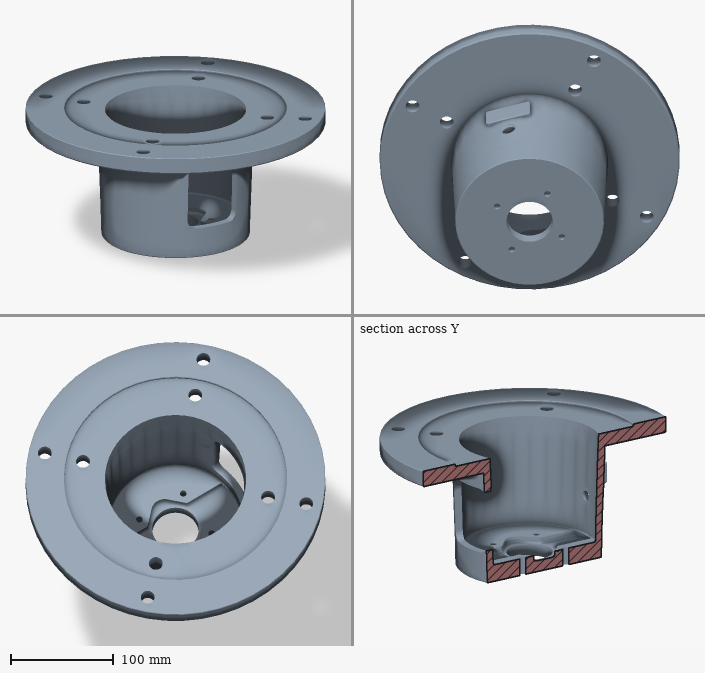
import cadquery as cq
import math

flange_diameter = 292.0
total_height = 130.3
flange_thickness = 16.5
flange_top_chamfer = 0.5
flange_bottom_chamfer = 1.5

hub_top_diameter = 152.8
hub_bottom_diameter = 144.5
bore_top_diameter = 137.5
bore_bottom_diameter = 131.0
hub_edge_chamfer = 1.0
floor_thickness = 17.5
bore_corner_radius = 1.5
bore_depth = total_height - floor_thickness

pilot_diameter = 216.5
pilot_depth = 2.3
pilot_edge_chamfer = 0.5
bolt_hole_diameter = 13.5
outer_bolt_offset = 92.0
inner_bolt_offset = 65.0

shaft_hole_diameter = 45.3
screw_hole_diameter = 6.5
screw_offset = 25.5
trough_width = 29.5
trough_depth = 5.8
trough_floor_radius = 2.3
diamond_reach = 37.7
diamond_tip_radius = 12.9

window_width = 55.0
window_top = 33.3
window_bottom = 100.0
window_corner_radius = 8.8

cross_hole_depth = 74.0
mouth_diameter = 15.2
wide_hole_diameter = 12.3
wide_hole_length = 4.7
narrow_hole_diameter = 10.0

plate_width = 45.0
plate_top = 33.5
plate_bottom = 57.0
plate_face = 76.5
plate_root = 70.0
plate_corner_radius = 3.0
plate_edge_radius = 1.2

hub_taper = (hub_top_diameter - hub_bottom_diameter) / 2 / (total_height - flange_thickness)
bore_taper = (bore_top_diameter - bore_bottom_diameter) / 2 / (bore_depth - pilot_depth)


def hub_radius(depth):
    return hub_top_diameter / 2 - hub_taper * (depth - flange_thickness)


def bore_radius(depth):
    return bore_top_diameter / 2 - bore_taper * (depth - pilot_depth)


def cone(top_depth, bottom_depth, radius_at):
    return (
        cq.Workplane("XY", origin=(0, 0, -bottom_depth))
        .circle(radius_at(bottom_depth))
        .workplane(offset=bottom_depth - top_depth)
        .circle(radius_at(top_depth))
        .loft(ruled=True)
    )


def square_pattern(offset):
    return [(sx * offset, sy * offset) for sx in (-1, 1) for sy in (-1, 1)]


def make_housing():
    flange = (
        cq.Workplane("XY")
        .circle(flange_diameter / 2)
        .extrude(-flange_thickness)
        .faces(">Z").chamfer(flange_top_chamfer)
        .faces("<Z").chamfer(flange_bottom_chamfer)
    )
    hub = cone(flange_thickness / 2, total_height, hub_radius)
    hub = hub.faces("<Z").chamfer(hub_edge_chamfer)
    return flange.union(hub)


def make_pilot():
    recess = cq.Workplane("XY").circle(pilot_diameter / 2).extrude(-pilot_depth)
    lead_in = cq.Solid.makeCone(
        pilot_diameter / 2, pilot_diameter / 2 + pilot_edge_chamfer, pilot_edge_chamfer,
        pnt=cq.Vector(0, 0, -pilot_edge_chamfer),
    )
    return recess.union(cq.Workplane(lead_in))


def make_bore():
    return cone(0, bore_depth, bore_radius).faces("<Z").edges().fillet(bore_corner_radius)


def make_trough():
    start = cq.Workplane("XY", origin=(0, 0, -bore_depth))
    channel = start.rect(2 * hub_top_diameter, trough_width).extrude(-trough_depth)
    diamond = (
        start.transformed(rotate=(0, 0, 45))
        .sketch()
        .rect(diamond_reach * math.sqrt(2), diamond_reach * math.sqrt(2))
        .vertices().fillet(diamond_tip_radius)
        .finalize()
        .extrude(-trough_depth)
    )
    limit = cone(0, bore_depth + trough_depth, bore_radius)
    trough = channel.union(diamond).faces("<Z").edges().fillet(trough_floor_radius)
    return trough.intersect(limit)


def make_window():
    return (
        cq.Workplane("YZ")
        .center(0, -(window_top + window_bottom) / 2)
        .rect(window_width, window_bottom - window_top)
        .extrude(hub_top_diameter)
        .edges("|X").fillet(window_corner_radius)
    )


def make_cross_hole():
    wall_face = hub_radius(cross_hole_depth)
    mouth_depth = (mouth_diameter - wide_hole_diameter) / 2
    hole = (
        cq.Workplane("YZ", origin=(0, 0, -cross_hole_depth))
        .circle(narrow_hole_diameter / 2)
        .extrude(-wall_face)
    )
    wide_hole = (
        cq.Workplane("YZ", origin=(-wall_face, 0, -cross_hole_depth))
        .circle(wide_hole_diameter / 2)
        .extrude(wide_hole_length)
    )
    mouth = cq.Solid.makeCone(
        mouth_diameter / 2, wide_hole_diameter / 2, mouth_depth,
        pnt=cq.Vector(-wall_face, 0, -cross_hole_depth),
        dir=cq.Vector(1, 0, 0),
    )
    approach = (
        cq.Workplane("YZ", origin=(-wall_face, 0, -cross_hole_depth))
        .circle(mouth_diameter / 2)
        .extrude(-mouth_depth)
    )
    return hole.union(wide_hole).union(cq.Workplane(mouth)).union(approach)


def make_nameplate():
    return (
        cq.Workplane("YZ", origin=(-plate_face, 0, 0))
        .center(0, -(plate_top + plate_bottom) / 2)
        .rect(plate_width, plate_bottom - plate_top)
        .extrude(plate_face - plate_root)
        .edges("|X").fillet(plate_corner_radius)
        .faces("<X").edges().fillet(plate_edge_radius)
    )


def make_through_holes(points, diameter):
    return cq.Workplane("XY").pushPoints(points).circle(diameter / 2).extrude(-total_height)


result = (
    make_housing()
    .union(make_nameplate())
    .cut(make_pilot())
    .cut(make_bore())
    .cut(make_trough())
    .cut(make_window())
    .cut(make_cross_hole())
    .cut(make_through_holes(square_pattern(outer_bolt_offset), bolt_hole_diameter))
    .cut(make_through_holes(square_pattern(inner_bolt_offset), bolt_hole_diameter))
    .cut(make_through_holes(square_pattern(screw_offset), screw_hole_diameter))
    .cut(make_through_holes([(0, 0)], shaft_hole_diameter))
)